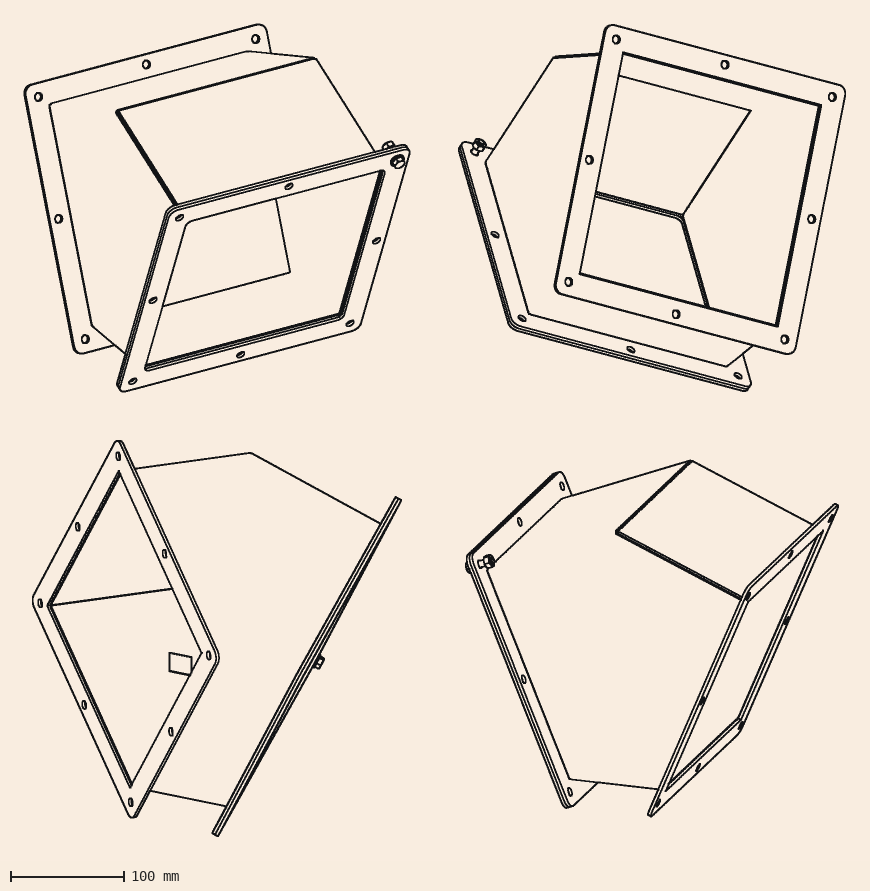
import cadquery as cq
import math

TILT = 22.5
FLANGE_DISTANCE = 89.0
DUCT_WIDTH = 203.5
DUCT_HEIGHT = 203.3
WALL = 2.01
BEND_RADIUS = 3.0
SEAM_GAP = 0.13

FLANGE_SIZE = 244.5
FLANGE_THICKNESS = 3.0
FLANGE_CORNER_RADIUS = 8.0
OPENING_WIDTH = 202.0
OPENING_HEIGHT = 201.5
COUNTER_OPENING_RADIUS = 6.0
HOLE_DIAMETER = 7.3
CORNER_HOLE_OFFSET = 110.0
MIDDLE_HOLE_OFFSET = 113.3

SHANK_DIAMETER = 6.0
TIP_DIAMETER = 5.0
BOLT_LENGTH = 20.7
HEAD_WIDTH = 9.5
HEAD_HEIGHT = 4.3
NUT_WIDTH = 10.2
NUT_HEIGHT = 5.5
TIP_OVERHANG = 1.3
WASHER_DIAMETER = 12.5
WASHER_BORE = 6.5
WASHER_THICKNESS = 1.5

LABEL_SIZE = 20.5
LABEL_THICKNESS = 1.0
LABEL_HEIGHT = 21.2

LEFT = -1
RIGHT = 1
SIN = math.sin(math.radians(TILT))
COS = math.cos(math.radians(TILT))
TAN = SIN / COS
INNER_WIDTH = DUCT_WIDTH - 2 * WALL
COUNTER_DISTANCE = FLANGE_DISTANCE + FLANGE_THICKNESS
WASHER_DISTANCE = COUNTER_DISTANCE + FLANGE_THICKNESS
HEAD_DISTANCE = WASHER_DISTANCE + WASHER_THICKNESS
TIP_DISTANCE = HEAD_DISTANCE - BOLT_LENGTH
NUT_DISTANCE = TIP_DISTANCE + TIP_OVERHANG


def tilted_plane(side, distance):
    """Workplane parallel to a flange, its normal pointing outward and its local y up the slope."""
    return cq.Workplane(cq.Plane(
        origin=(side * distance * COS, 0, -distance * SIN),
        xDir=(0, side, 0),
        normal=(side * COS, 0, -SIN),
    ))


def at_bolt(distance):
    """Workplane on the bolt's axis, which runs through the upper +Y hole of the right flange."""
    return tilted_plane(RIGHT, distance).center(CORNER_HOLE_OFFSET, CORNER_HOLE_OFFSET)


def bent_prism(inset, overrun, bend_radius):
    """Elbow-shaped block lying `inset` inside the duct's outer faces, rounded where the sheet bends."""
    half_width = DUCT_WIDTH / 2 - inset
    half_height = DUCT_HEIGHT / 2 - inset
    end = FLANGE_DISTANCE + overrun
    ridge_z = half_height / COS
    roof_end_x = end * COS + half_height * SIN
    roof_end_z = half_height * COS - end * SIN
    floor_z = inset - FLANGE_DISTANCE * SIN - DUCT_HEIGHT / 2 * COS
    floor_end_x = (end + floor_z * SIN) / COS
    block = (
        cq.Workplane("XZ")
        .moveTo(0, ridge_z)
        .lineTo(roof_end_x, roof_end_z)
        .lineTo(floor_end_x, floor_z)
        .lineTo(-floor_end_x, floor_z)
        .lineTo(-roof_end_x, roof_end_z)
        .close()
        .extrude(half_width, both=True)
    )
    for side in (LEFT, RIGHT):
        roof_edge_middle = (side * roof_end_x / 2, side * half_width, (ridge_z + roof_end_z) / 2)
        block = block.edges(cq.selectors.NearestToPointSelector(roof_edge_middle)).fillet(bend_radius)
    return block.faces("<Z").edges("|X").fillet(bend_radius)


def roof_seam(side):
    """Notch that opens the corner between a roof panel and the wall it is not bent from."""
    start = -(DUCT_HEIGHT / 2 - WALL) * TAN
    notch = 2 * (WALL + SEAM_GAP)
    return (
        tilted_plane(side, start)
        .center(-DUCT_WIDTH / 2, DUCT_HEIGHT / 2)
        .rect(notch, notch)
        .extrude(FLANGE_DISTANCE - start)
    )


def ridge_seam():
    """V-shaped groove between the square-cut edges of the two roof panels."""
    depth = 2 * WALL
    bottom_z = (DUCT_HEIGHT / 2 - WALL) / COS - SEAM_GAP
    top_z = bottom_z + depth
    top_x = SEAM_GAP + depth * TAN
    return (
        cq.Workplane("XZ")
        .polyline([(-SEAM_GAP, bottom_z), (SEAM_GAP, bottom_z), (top_x, top_z), (-top_x, top_z)])
        .close()
        .extrude(DUCT_WIDTH / 2, both=True)
    )


def make_duct():
    overrun = 2.7
    outside = bent_prism(0, 0, BEND_RADIUS)
    inside = bent_prism(WALL, overrun, BEND_RADIUS - WALL)
    return outside.cut(inside).cut(roof_seam(LEFT)).cut(roof_seam(RIGHT)).cut(ridge_seam())


def hole_positions():
    """Four corner holes and one in the middle of each side."""
    positions = []
    for column in (-1, 0, 1):
        for row in (-1, 0, 1):
            if column and row:
                positions.append((column * CORNER_HOLE_OFFSET, row * CORNER_HOLE_OFFSET))
            elif column or row:
                positions.append((column * MIDDLE_HOLE_OFFSET, row * MIDDLE_HOLE_OFFSET))
    return positions


def rounded_block(plane, width, height, radius):
    """Flange-thick rectangular block with rounded corners."""
    outline = plane.sketch().rect(width, height).vertices().fillet(radius).finalize()
    return outline.extrude(FLANGE_THICKNESS)


def make_blank(plane):
    """Square plate with rounded corners and eight bolt holes."""
    holes = plane.pushPoints(hole_positions()).circle(HOLE_DIAMETER / 2).extrude(FLANGE_THICKNESS)
    return rounded_block(plane, FLANGE_SIZE, FLANGE_SIZE, FLANGE_CORNER_RADIUS).cut(holes)


def make_flange(side):
    plane = tilted_plane(side, FLANGE_DISTANCE)
    opening = plane.rect(OPENING_WIDTH, OPENING_HEIGHT).extrude(FLANGE_THICKNESS)
    return make_blank(plane).cut(opening)


def make_counter_flange():
    plane = tilted_plane(RIGHT, COUNTER_DISTANCE)
    opening = rounded_block(plane, OPENING_WIDTH, OPENING_HEIGHT, COUNTER_OPENING_RADIUS)
    return make_blank(plane).cut(opening)


def hexagon(distance, width, height, chamfered_ends):
    """Hexagonal block on the bolt axis, two corners along Y, the corners of the given ends turned off."""
    corner_diameter = width / math.cos(math.radians(30))
    corner_depth = (corner_diameter - width) / 2
    turned = (
        at_bolt(distance)
        .circle(corner_diameter / 2)
        .extrude(height)
        .faces(chamfered_ends)
        .chamfer(corner_depth)
    )
    return at_bolt(distance).polygon(6, corner_diameter).extrude(height).intersect(turned)


def make_bolt():
    head = hexagon(HEAD_DISTANCE, HEAD_WIDTH, HEAD_HEIGHT, ">X")
    tip_chamfer = (SHANK_DIAMETER - TIP_DIAMETER) / 2
    shank = (
        at_bolt(TIP_DISTANCE)
        .circle(SHANK_DIAMETER / 2)
        .extrude(BOLT_LENGTH)
        .faces("<X")
        .chamfer(tip_chamfer)
    )
    return head.union(shank)


def make_washer():
    return (
        at_bolt(WASHER_DISTANCE)
        .circle(WASHER_DIAMETER / 2)
        .circle(WASHER_BORE / 2)
        .extrude(WASHER_THICKNESS)
    )


def make_nut():
    bore = at_bolt(NUT_DISTANCE).circle(SHANK_DIAMETER / 2).extrude(NUT_HEIGHT)
    return hexagon(NUT_DISTANCE, NUT_WIDTH, NUT_HEIGHT, "<X or >X").cut(bore)


def make_label():
    """Square plate lying flat against the inside of the +Y wall."""
    center_y = (INNER_WIDTH - LABEL_THICKNESS) / 2
    return cq.Workplane("XY").box(LABEL_SIZE, LABEL_THICKNESS, LABEL_SIZE).translate(
        (0, center_y, LABEL_HEIGHT)
    )


duct = make_duct()
flanges = [make_flange(side) for side in (LEFT, RIGHT)]
counter_flange = make_counter_flange()
bolt = make_bolt()
washer = make_washer()
nut = make_nut()
label = make_label()

result = cq.Compound.makeCompound([
    duct.val(),
    *[flange.val() for flange in flanges],
    counter_flange.val(),
    bolt.val(),
    washer.val(),
    nut.val(),
    label.val(),
])